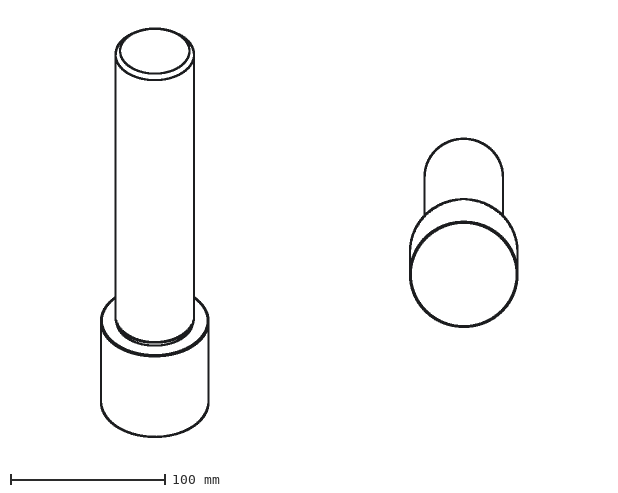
import cadquery as cq

total_length = 300.0
head_diameter = 70.0
head_height = 70.0
shank_diameter = 51.0

head_chamfer = 0.5
tip_chamfer = 3.0
neck_height = 3.0
neck_depth = 0.5


def cylinder(diameter, bottom, top):
    """Upright cylinder on the Z axis between two heights."""
    return cq.Workplane("XY", origin=(0, 0, bottom)).circle(diameter / 2).extrude(top - bottom)


head = cylinder(head_diameter, 0, head_height).edges("%CIRCLE").chamfer(head_chamfer)

shank_bottom = head_height + neck_height
neck = cylinder(shank_diameter - 2 * neck_depth, head_height, shank_bottom)

shank = cylinder(shank_diameter, shank_bottom, total_length).faces(">Z").edges().chamfer(tip_chamfer)

result = head.union(neck).union(shank)